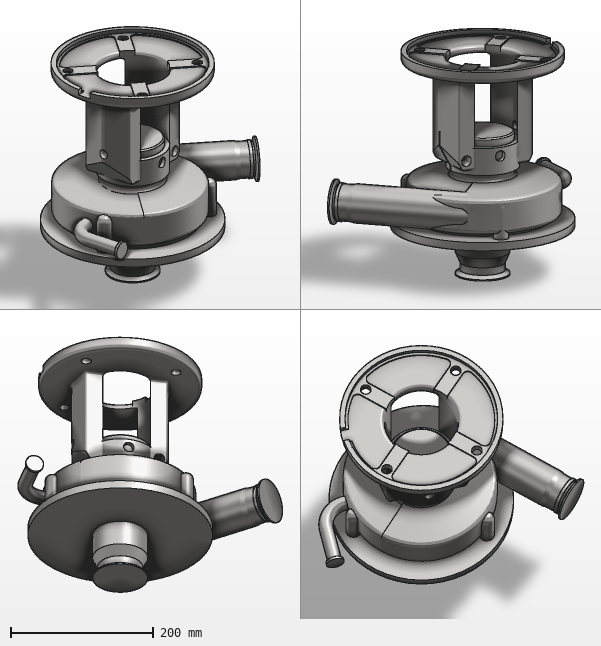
import cadquery as cq
import math

PLATE_Z = 70.0
PLATE_THICKNESS = 12.0
PLATE_RADIUS = 130.0
PLATE_TOP = PLATE_Z + PLATE_THICKNESS
TOTAL_HEIGHT = 326.5

INLET_RADIUS = 38.8
INLET_NECK_RADIUS = 32.0
INLET_RIM_HEIGHT = 2.0
INLET_FLARE_TOP = 6.5
INLET_CONE_BOTTOM = 17.5
INLET_CONE_TOP = 33.0

PEDESTAL_RADIUS = 97.2
CASING_RADIUS = 113.4
CASING_SHIFT = 6.4
CASING_BOTTOM = 89.5
CASING_SHOULDER = 140.6
CASING_ROOF = 146.3
CASING_TOP_FILLET = 6.0
CASING_BOTTOM_FILLET = 7.5
OUTLET_ANGLE = 45.0

HUB_RADIUS = 45.2
HUB_FLARE = 6.0
HUB_FLARE_BOTTOM = 145.4
CAP_RADIUS = 44.7
CAP_TOP = 210.0
CAP_CHAMFER = 2.0
CAP_NOTCH_WIDTH = 18.0
CAP_NOTCH_FLOOR = 42.0
SLEEVE_RADIUS = 52.0
SLEEVE_BOTTOM = 158.0
SLEEVE_TOP = 197.5
SLEEVE_HOLE_RADIUS = 7.6
SLEEVE_HOLE_Z = 185.0

OUTLET_OFFSET = 94.6
OUTLET_LENGTH = 190.6
OUTLET_RADIUS = 27.9
OUTLET_Z = 116.0
OUTLET_FERRULE_RADIUS = 32.0
OUTLET_NECK_RADIUS = 25.5
OUTLET_SPIGOT_RADIUS = 26.5
OUTLET_BEAD_RADIUS = 27.5
OUTLET_RIM = 2.5
OUTLET_FLARE = 5.0
OUTLET_NECK = 8.0
OUTLET_BEAD = 13.0
OUTLET_SPIGOT = 26.0
OUTLET_TAPER = 33.0

FLUSH_RADIUS = 10.0
FLUSH_BEND_RADIUS = 35.0
FLUSH_Y = -145.4
FLUSH_Z = 115.5
FLUSH_END_X = 89.5
FLUSH_RIM_RADIUS = 12.8
FLUSH_RIM_WIDTH = 4.0
FLUSH_FLARE_WIDTH = 1.5

LUG_ANGLES = (-75.0, 45.0, 165.0)
LUG_RADIUS = 10.8
LUG_CIRCLE_RADIUS = 108.3
LUG_TOP = 137.0

FLANGE_RADIUS = 115.0
FLANGE_THICKNESS = 17.5
FLANGE_BOTTOM = TOTAL_HEIGHT - FLANGE_THICKNESS
FLANGE_FILLET = 6.8
FLANGE_REBATE_RADIUS = 107.4
FLANGE_REBATE_DEPTH = 6.2
POCKET_RADIUS = 103.4
POCKET_DEPTH = 8.2
POCKET_CORNER = 8.0
POCKET_LIP = 6.0
SPOKE_WIDTH = 22.0
BOLT_CIRCLE_RADIUS = 92.0
BOLT_HOLE_RADIUS = 7.3
NOTCH_WIDTH = 20.0

LEG_HALF_WIDTH = 39.0
LEG_CORNER_Y = 59.0
LEG_RIDGE_Y = 69.5
LEG_RIDGE_HALF_WIDTH = 3.0
LEG_BOTTOM = 166.0
LEG_SLOPE_BOTTOM_Y = 56.0
LEG_SLOPE_TOP = 196.6
LEG_SLOPE_BOTTOM = 172.0
LEG_EDGE_FILLET = 3.0
LEG_FOOT_FILLET = 8.0
LEG_ROOT_FILLET = 5.0
SLEEVE_ROOT_FILLET = 2.5
LEG_HOLE_RADIUS = 6.7
LEG_HOLE_Z = 210.0
CLAMP_SLIT_WIDTH = 3.0
CLAMP_SLIT_TOP = LEG_HOLE_Z + LEG_HOLE_RADIUS
CLAMP_HOLE_RADIUS = 7.6
CLAMP_HOLE_Y = 47.4
CLAMP_HOLE_Z = 180.5

TOLERANCE = 0.001


def cylinder(radius, bottom, top):
    return cq.Workplane("XY").workplane(offset=bottom).circle(radius).extrude(top - bottom)


def turned(profile):
    """Revolve a closed (radius, height) outline about Z."""
    return cq.Workplane("XZ").polyline(profile).close().revolve(360, (0, 0, 0), (0, 1, 0))


def make_inlet():
    return turned([
        (0, 0),
        (INLET_RADIUS, 0),
        (INLET_RADIUS, INLET_RIM_HEIGHT),
        (INLET_NECK_RADIUS, INLET_FLARE_TOP),
        (INLET_NECK_RADIUS, INLET_CONE_BOTTOM),
        (INLET_RADIUS, INLET_CONE_TOP),
        (INLET_RADIUS, PLATE_Z),
        (0, PLATE_Z),
    ])


def make_drum(radius):
    drum = turned([
        (0, CASING_BOTTOM),
        (radius, CASING_BOTTOM),
        (radius, CASING_SHOULDER),
        (HUB_RADIUS, CASING_ROOF),
        (0, CASING_ROOF),
    ])
    shoulder = cq.selectors.NearestToPointSelector((0, 0, CASING_SHOULDER))
    drum = drum.edges("%CIRCLE").edges(shoulder).fillet(CASING_TOP_FILLET)
    return drum.edges("<Z").fillet(CASING_BOTTOM_FILLET)


def make_casing():
    """Shifted half drum and smaller centred half drum, with the outlet along +X until rotated."""
    size = 2 * PLATE_RADIUS
    back_side = cq.Workplane("XY").box(size, size, TOTAL_HEIGHT, centered=(False, True, False))
    inner_back = back_side.translate((0, OUTLET_OFFSET - size / 2, 0))
    shifted = make_drum(CASING_RADIUS).translate((0, CASING_SHIFT, 0)).cut(inner_back)
    centred = make_drum(CASING_RADIUS - CASING_SHIFT).intersect(back_side)
    return shifted.union(centred).rotate((0, 0, 0), (0, 0, 1), OUTLET_ANGLE)


def make_lug(angle):
    lug = cylinder(LUG_RADIUS, PLATE_TOP, LUG_TOP).faces(">Z").edges().fillet(LUG_RADIUS - 1)
    return lug.translate((LUG_CIRCLE_RADIUS, 0, 0)).rotate((0, 0, 0), (0, 0, 1), angle)


def make_outlet():
    """Turned along Z with a ball end at the origin, then laid down along the outlet."""
    end = OUTLET_LENGTH
    pipe = turned([
        (0, 0),
        (OUTLET_RADIUS, 0),
        (OUTLET_RADIUS, end - OUTLET_TAPER),
        (OUTLET_SPIGOT_RADIUS, end - OUTLET_SPIGOT),
        (OUTLET_SPIGOT_RADIUS, end - OUTLET_BEAD),
        (OUTLET_BEAD_RADIUS, end - OUTLET_BEAD),
        (OUTLET_BEAD_RADIUS, end - OUTLET_NECK),
        (OUTLET_NECK_RADIUS, end - OUTLET_NECK),
        (OUTLET_NECK_RADIUS, end - OUTLET_FLARE),
        (OUTLET_FERRULE_RADIUS, end - OUTLET_RIM),
        (OUTLET_FERRULE_RADIUS, end),
        (0, end),
    ])
    pipe = pipe.union(cq.Workplane("XY").sphere(OUTLET_RADIUS))
    pipe = pipe.rotate((0, 0, 0), (0, 1, 0), 90).translate((0, OUTLET_OFFSET, OUTLET_Z))
    return pipe.rotate((0, 0, 0), (0, 0, 1), OUTLET_ANGLE)


def make_flush_pipe():
    bend_start_y = FLUSH_Y + FLUSH_BEND_RADIUS
    mid = FLUSH_BEND_RADIUS * (1 - math.sqrt(0.5))
    path = (
        cq.Workplane("XY", origin=(0, 0, FLUSH_Z))
        .moveTo(0, -CASING_RADIUS / 2)
        .lineTo(0, bend_start_y)
        .threePointArc((mid, FLUSH_Y + mid), (FLUSH_BEND_RADIUS, FLUSH_Y))
        .lineTo(FLUSH_END_X, FLUSH_Y)
    )
    start = cq.Workplane("XZ", origin=(0, -CASING_RADIUS / 2, FLUSH_Z))
    pipe = start.circle(FLUSH_RADIUS).sweep(path)
    rim = turned([
        (0, 0),
        (FLUSH_RIM_RADIUS, 0),
        (FLUSH_RIM_RADIUS, FLUSH_RIM_WIDTH),
        (FLUSH_RADIUS, FLUSH_RIM_WIDTH + FLUSH_FLARE_WIDTH),
        (0, FLUSH_RIM_WIDTH + FLUSH_FLARE_WIDTH),
    ])
    rim = rim.rotate((0, 0, 0), (0, 1, 0), -90).translate((FLUSH_END_X, FLUSH_Y, FLUSH_Z))
    return pipe.union(rim)


def make_hub():
    hub = (
        cq.Workplane("XZ")
        .moveTo(0, PLATE_TOP)
        .lineTo(HUB_RADIUS, PLATE_TOP)
        .lineTo(HUB_RADIUS + HUB_FLARE, HUB_FLARE_BOTTOM)
        .radiusArc((HUB_RADIUS, HUB_FLARE_BOTTOM + HUB_FLARE), HUB_FLARE)
        .lineTo(HUB_RADIUS, SLEEVE_TOP)
        .lineTo(CAP_RADIUS, SLEEVE_TOP)
        .lineTo(CAP_RADIUS, CAP_TOP - CAP_CHAMFER)
        .lineTo(CAP_RADIUS - CAP_CHAMFER, CAP_TOP)
        .lineTo(0, CAP_TOP)
        .close()
        .revolve(360, (0, 0, 0), (0, 1, 0))
    )
    notch = (
        cq.Workplane("XY")
        .box(CAP_NOTCH_WIDTH, CAP_RADIUS, CAP_TOP - SLEEVE_TOP, centered=(True, False, False))
        .translate((0, CAP_NOTCH_FLOOR, SLEEVE_TOP))
    )
    return hub.cut(notch)


def make_leg():
    """Leg on the -Y side, its outer faces meeting at a narrow flat ridge."""
    leg = (
        cq.Workplane("XY")
        .workplane(offset=LEG_BOTTOM)
        .polyline([
            (-LEG_HALF_WIDTH, 0),
            (-LEG_HALF_WIDTH, -LEG_CORNER_Y),
            (-LEG_RIDGE_HALF_WIDTH, -LEG_RIDGE_Y),
            (LEG_RIDGE_HALF_WIDTH, -LEG_RIDGE_Y),
            (LEG_HALF_WIDTH, -LEG_CORNER_Y),
            (LEG_HALF_WIDTH, 0),
        ])
        .close()
        .extrude(FLANGE_BOTTOM - LEG_BOTTOM)
    )
    slope = (LEG_SLOPE_TOP - LEG_SLOPE_BOTTOM) / (LEG_RIDGE_Y - LEG_SLOPE_BOTTOM_Y)
    foot_y = LEG_SLOPE_BOTTOM_Y - (LEG_SLOPE_BOTTOM - LEG_BOTTOM) / slope
    wedge = (
        cq.Workplane("YZ")
        .polyline([
            (-foot_y, LEG_BOTTOM),
            (-LEG_RIDGE_Y, LEG_SLOPE_TOP),
            (-LEG_RIDGE_Y, LEG_BOTTOM),
        ])
        .close()
        .extrude(LEG_HALF_WIDTH, both=True)
    )
    corners = cq.selectors.BoxSelector(
        (-LEG_HALF_WIDTH - 1, -LEG_CORNER_Y - 1, LEG_BOTTOM),
        (LEG_HALF_WIDTH + 1, -LEG_CORNER_Y + 1, FLANGE_BOTTOM),
    )
    leg = leg.edges("|Z").edges(corners).fillet(LEG_EDGE_FILLET)
    leg = leg.cut(wedge)
    foot_edge = cq.selectors.NearestToPointSelector((0, -foot_y, LEG_BOTTOM))
    leg = leg.edges(foot_edge).fillet(LEG_FOOT_FILLET)
    width = 2 * LEG_HALF_WIDTH
    rounded_bottom = (
        cq.Workplane("XY")
        .box(width, 2 * LEG_RIDGE_Y, FLANGE_BOTTOM - LEG_BOTTOM, centered=(True, True, False))
        .translate((0, 0, LEG_BOTTOM))
        .edges("|Y and <Z")
        .fillet(LEG_EDGE_FILLET)
    )
    return leg.intersect(rounded_bottom)


def make_pocket():
    """Recess between two spokes, opening toward +X before it is rotated."""
    half_spoke = SPOKE_WIDTH / 2
    floor = TOTAL_HEIGHT - POCKET_DEPTH
    corner = half_spoke * math.sqrt(2)
    reach = 2 * POCKET_RADIUS
    sector = (
        cq.Workplane("XY")
        .workplane(offset=floor)
        .polyline([(corner, 0), (corner + reach, -reach), (corner + reach, reach)])
        .close()
        .extrude(POCKET_DEPTH)
    )
    pocket = sector.intersect(cylinder(POCKET_RADIUS, floor, TOTAL_HEIGHT))
    outer_corners = cq.selectors.BoxSelector(
        (POCKET_RADIUS / 2, -POCKET_RADIUS, floor),
        (POCKET_RADIUS, POCKET_RADIUS, TOTAL_HEIGHT),
    )
    pocket = pocket.edges("|Z").edges(outer_corners).fillet(POCKET_CORNER)
    lip_radius = SLEEVE_RADIUS + POCKET_LIP
    lip = (
        cq.Workplane("XZ")
        .moveTo(0, floor)
        .lineTo(lip_radius, floor)
        .radiusArc((SLEEVE_RADIUS, floor - POCKET_LIP), -POCKET_LIP)
        .lineTo(0, floor - POCKET_LIP)
        .close()
        .revolve(360, (0, 0, 0), (0, 1, 0))
    )
    lip = lip.intersect(sector.translate((0, 0, -POCKET_DEPTH)))
    return pocket.union(lip)


def make_flange():
    flange = cylinder(FLANGE_RADIUS, FLANGE_BOTTOM, TOTAL_HEIGHT)
    return flange.faces("<Z").edges().fillet(FLANGE_FILLET)


def cut_flange_top(body):
    body = body.cut(cylinder(FLANGE_REBATE_RADIUS, TOTAL_HEIGHT - FLANGE_REBATE_DEPTH, TOTAL_HEIGHT))
    pocket = make_pocket()
    for quarter in range(4):
        body = body.cut(pocket.rotate((0, 0, 0), (0, 0, 1), 90 * quarter))
    bolt_hole = cylinder(BOLT_HOLE_RADIUS, FLANGE_BOTTOM, TOTAL_HEIGHT)
    bolt_hole = bolt_hole.translate((BOLT_CIRCLE_RADIUS, 0, 0))
    for quarter in range(4):
        body = body.cut(bolt_hole.rotate((0, 0, 0), (0, 0, 1), 45 + 90 * quarter))
    notch_inner = POCKET_RADIUS - POCKET_CORNER
    notch = (
        cq.Workplane("XY")
        .box(NOTCH_WIDTH, FLANGE_RADIUS - notch_inner, POCKET_DEPTH, centered=(True, False, False))
        .translate((0, -FLANGE_RADIUS, TOTAL_HEIGHT - POCKET_DEPTH))
    )
    return body.cut(notch)


def is_leg_root(edge):
    """True for edges where a leg meets the wall of the sleeve, below the sleeve's top."""
    middle = edge.positionAt(0.5)
    on_wall = math.isclose(math.hypot(middle.x, middle.y), SLEEVE_RADIUS, abs_tol=TOLERANCE)
    on_leg = abs(middle.x) < LEG_HALF_WIDTH + TOLERANCE
    return on_wall and on_leg and LEG_BOTTOM - TOLERANCE < middle.z < SLEEVE_TOP - TOLERANCE


def make_sleeve(leg):
    """Sleeve with the lower part of both legs blended into it."""
    sleeve = cylinder(SLEEVE_RADIUS, SLEEVE_BOTTOM, SLEEVE_TOP)
    lower_legs = leg.union(leg.mirror("XZ")).intersect(cylinder(PLATE_RADIUS, LEG_BOTTOM, SLEEVE_TOP))
    sleeve = sleeve.union(lower_legs)
    return sleeve.edges().filter(is_leg_root).fillet(SLEEVE_ROOT_FILLET)


def make_adapter():
    """Sleeve, legs and motor flange bored through to fit over the hub."""
    flange = make_flange()
    leg = make_leg()
    flange = flange.union(leg).union(leg.mirror("XZ"))
    root = cq.selectors.BoxSelector(
        (-LEG_HALF_WIDTH - 1, -LEG_RIDGE_Y - 1, FLANGE_BOTTOM - 1),
        (LEG_HALF_WIDTH + 1, LEG_RIDGE_Y + 1, FLANGE_BOTTOM + 1),
        boundingbox=True,
    )
    adapter = flange.edges(root).fillet(LEG_ROOT_FILLET)
    adapter = adapter.cut(cylinder(SLEEVE_RADIUS, LEG_BOTTOM, TOTAL_HEIGHT))
    adapter = adapter.union(make_sleeve(leg))
    adapter = adapter.cut(cylinder(CAP_RADIUS, SLEEVE_BOTTOM, SLEEVE_TOP))
    adapter = cut_flange_top(adapter)

    across_x = cq.Workplane("YZ")
    sleeve_hole = across_x.center(0, SLEEVE_HOLE_Z).circle(SLEEVE_HOLE_RADIUS)
    adapter = adapter.cut(sleeve_hole.extrude(PLATE_RADIUS, both=True))
    clamp_hole = cq.Workplane("YZ").center(CLAMP_HOLE_Y, CLAMP_HOLE_Z).circle(CLAMP_HOLE_RADIUS)
    adapter = adapter.cut(clamp_hole.extrude(LEG_HALF_WIDTH, both=True))
    sight_hole = cq.Workplane("XZ").center(0, LEG_HOLE_Z).circle(LEG_HOLE_RADIUS)
    adapter = adapter.cut(sight_hole.extrude(PLATE_RADIUS))
    slit = (
        cq.Workplane("XY")
        .box(CLAMP_SLIT_WIDTH, PLATE_RADIUS, CLAMP_SLIT_TOP - SLEEVE_BOTTOM, centered=(True, False, False))
        .translate((0, 0, SLEEVE_BOTTOM))
    )
    return adapter.cut(slit)


def make_part():
    part = make_inlet()
    part = part.union(cylinder(PLATE_RADIUS, PLATE_Z, PLATE_TOP))
    part = part.union(cylinder(PEDESTAL_RADIUS, PLATE_TOP, CASING_BOTTOM))
    part = part.union(make_casing())
    part = part.union(make_outlet())
    for angle in LUG_ANGLES:
        part = part.union(make_lug(angle))
    part = part.union(make_flush_pipe())
    part = part.union(make_hub())
    return part.union(make_adapter())


result = make_part()